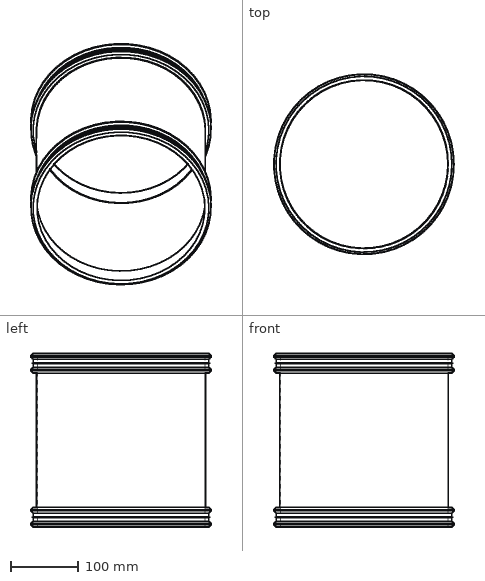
import cadquery as cq

LENGTH = 258.7
RIB_DIAMETER = 268.5
COLLAR_DIAMETER = 261.7
TUBE_DIAMETER = 251.8
BORE_DIAMETER = 250.0
COLLAR_LENGTH = 29.5
RIB_WIDTH = 8.9
RIB_CREST_WIDTH = 2.1
BEAD_HEIGHT = 1.0
BEAD_WIDTH = 1.0

rib_radius = RIB_DIAMETER / 2
collar_radius = COLLAR_DIAMETER / 2
tube_radius = TUBE_DIAMETER / 2
bore_radius = BORE_DIAMETER / 2
rib_flank = (RIB_WIDTH - RIB_CREST_WIDTH) / 2
tube_top = LENGTH / 2 - COLLAR_LENGTH


def revolve(profile):
    """Revolve a closed (radius, height) profile around Z."""
    return profile.close().revolve(360, (0, 0, 0), (0, 1, 0))


def ring(inner_radius, outer_radius, bottom, height):
    """Plain cylindrical ring standing on the given height."""
    return (
        cq.Workplane("XY", origin=(0, 0, bottom))
        .circle(outer_radius)
        .circle(inner_radius)
        .extrude(height)
    )


def rib(bottom):
    """Outer rib with two sloping flanks and a flat crest."""
    top = bottom + RIB_WIDTH
    profile = (
        cq.Workplane("XZ")
        .moveTo(bore_radius, bottom)
        .lineTo(collar_radius, bottom)
        .lineTo(rib_radius, bottom + rib_flank)
        .lineTo(rib_radius, top - rib_flank)
        .lineTo(collar_radius, top)
        .lineTo(bore_radius, top)
    )
    return revolve(profile)


def bead(middle):
    """Small V-shaped bead around the collar, centred on the given height."""
    bottom = middle - BEAD_WIDTH / 2
    top = middle + BEAD_WIDTH / 2
    profile = (
        cq.Workplane("XZ")
        .moveTo(bore_radius, bottom)
        .lineTo(collar_radius, bottom)
        .lineTo(collar_radius + BEAD_HEIGHT, middle)
        .lineTo(collar_radius, top)
        .lineTo(bore_radius, top)
    )
    return revolve(profile)


def make_collar(bottom):
    """Collar with a rib at each end and a bead midway between them."""
    collar = ring(bore_radius, collar_radius, bottom, COLLAR_LENGTH)
    for rib_bottom in (bottom, bottom + COLLAR_LENGTH - RIB_WIDTH):
        collar = collar.union(rib(rib_bottom))
    return collar.union(bead(bottom + COLLAR_LENGTH / 2))


def make_collared_tube():
    """Thin tube with a collar in one piece at its lower end."""
    tube = ring(bore_radius, tube_radius, -LENGTH / 2, tube_top + LENGTH / 2)
    return tube.union(make_collar(-LENGTH / 2))


end_collar = make_collar(tube_top)
collared_tube = make_collared_tube()

result = cq.Compound.makeCompound([end_collar.val(), collared_tube.val()])